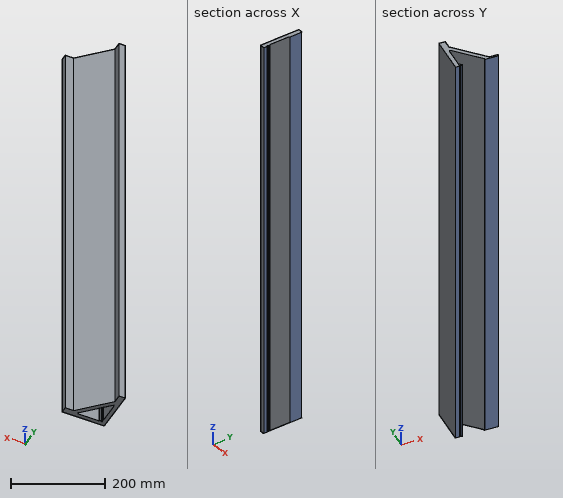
import cadquery as cq
import math

length = 1000.0
leg = 100.0
flange_thickness = 15.0
flange_step = 80.0
wall = 10.0
tip_radius = 2.0
nib_offset = 3.0
nib_width = 4.0
nib_height = 3.0

outer_intercept = flange_thickness + flange_step
inner_intercept = outer_intercept - wall * math.sqrt(2)
hollow_tip = inner_intercept - wall

body = (
    cq.Workplane("XY")
    .polyline([
        (0, 0),
        (leg, 0),
        (leg, flange_thickness),
        (flange_step, flange_thickness),
        (flange_thickness, flange_step),
        (flange_thickness, leg),
        (0, leg),
    ])
    .close()
    .extrude(length)
)

nib_start = wall + nib_offset
nib_end = nib_start + nib_width
nib_top = wall + nib_height
hollow = (
    cq.Workplane("XY")
    .polyline([
        (wall, wall),
        (nib_start, wall),
        (nib_start, nib_top),
        (nib_end, nib_top),
        (nib_end, wall),
        (hollow_tip, wall),
        (wall, hollow_tip),
        (wall, nib_end),
        (nib_top, nib_end),
        (nib_top, nib_start),
        (wall, nib_start),
    ])
    .close()
    .extrude(length)
    .edges(
        cq.selectors.NearestToPointSelector((hollow_tip, wall, length / 2))
        + cq.selectors.NearestToPointSelector((wall, hollow_tip, length / 2))
    )
    .fillet(tip_radius)
)

result = body.cut(hollow)